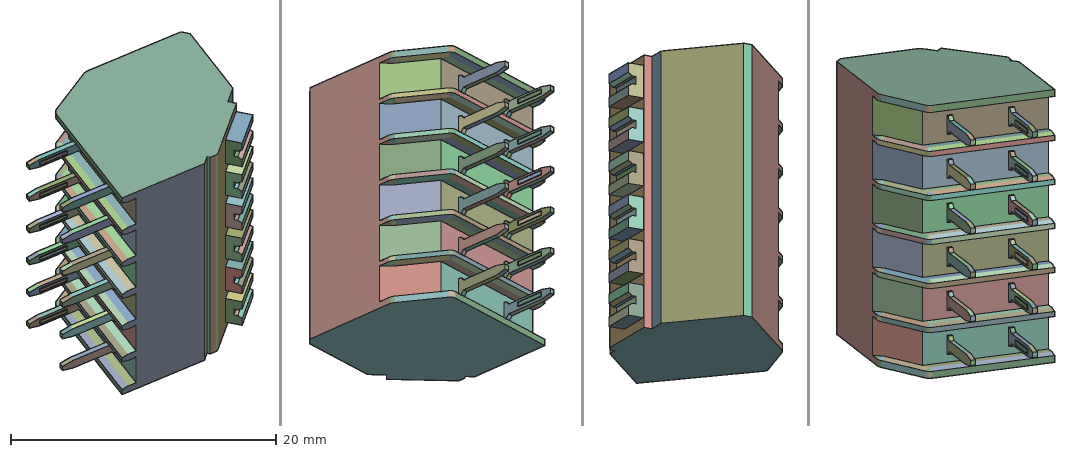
import cadquery as cq
import math


length = 21.7
pole_count = 6
wall_thickness = 0.7
pole_pitch = (length - wall_thickness) / pole_count

width = 12.7
height = 12.9
top_corner_chamfer = 0.52
slant_height = 4.05
slant_width = 2.43
slant_upper_radius = 1.0
slant_lower_radius = 0.55

wire_face_level = 20.83
notch_floor_level = 19.88
ledge_level = 19.85
notch_side = 3.86
lip_side_x = 12.35
lip_round = 0.37
lip_side_bottom = 7.85
lip_return = 0.17

recess_depth = 1.22
wall_chamfer_side = 0.14
wall_chamfer_depth = 0.52

button_offset = 0.1
button_length = 3.04
button_rise = 1.3
button_width = 2.6
button_embed = 0.22
slot_width = 0.6
slot_depth = 0.65
slot_chamfer_width = 0.24
slot_chamfer_depth = 0.35

pin_thickness = 0.4
pin_left_x = 4.4
pin_right_x = 9.45
pin_width = 0.85
pin_head_width = 1.48
pin_head_bottom = 1.0
pin_neck_bottom = 0.72
pin_taper_start = -2.65
pin_tip = -3.54
pin_tip_width = 0.43
pin_embed = 0.22
nub_width = 0.37
nub_rise = 0.09
nub_top = -0.28


def wire_face_outline():
    """Points of the notched 45 degree corner, from the top face down to the right side."""
    lip_return_x = lip_side_x - lip_return
    return [
        (notch_floor_level - height, height),
        ((notch_floor_level - notch_side) / 2, (notch_floor_level + notch_side) / 2),
        ((wire_face_level - notch_side) / 2, (wire_face_level + notch_side) / 2),
        (lip_side_x, wire_face_level - lip_side_x),
        (lip_side_x, lip_side_bottom),
        (lip_return_x, ledge_level - lip_return_x),
        (width, ledge_level - width),
    ]


def make_core():
    """Housing between the walls, standing back from the solder side by the recess depth."""
    outline = [
        (0, slant_height + recess_depth),
        (0, height - top_corner_chamfer),
        (top_corner_chamfer, height),
        *wire_face_outline(),
        (width, recess_depth),
        (slant_width, recess_depth),
    ]
    core = cq.Workplane("XY").polyline(outline).close().extrude(length)
    lip_corner = (lip_side_x, wire_face_level - lip_side_x, length / 2)
    return core.edges(cq.selectors.NearestToPointSelector(lip_corner)).fillet(lip_round)


def wall_layer(thickness, taper=0):
    """Layer of a wall on the XY plane whose rounded outline shrinks upward by the taper angle."""
    right = width + 2 * wall_chamfer_depth
    top = slant_height + recess_depth + 2 * wall_chamfer_depth
    outline = [(0, slant_height), (0, top), (right, top), (right, 0), (slant_width, 0)]
    blank = cq.Workplane("XY").polyline(outline).close().extrude(thickness)
    for corner, radius in (
        ((0, slant_height, thickness / 2), slant_upper_radius),
        ((slant_width, 0, thickness / 2), slant_lower_radius),
    ):
        blank = blank.edges(cq.selectors.NearestToPointSelector(corner)).fillet(radius)
    if taper:
        blank = blank.faces("<Z").wires().toPending().extrude(thickness, taper=taper, combine=False)
    keep = cq.Workplane("XY").box(width, top, thickness, centered=False)
    return blank.intersect(keep)


def make_half_wall(chamfered):
    """Half of a wall, from its middle plane Z = 0 up to its face."""
    if not chamfered:
        return wall_layer(wall_thickness / 2)
    rim_thickness = wall_thickness / 2 - wall_chamfer_side
    taper = math.degrees(math.atan2(wall_chamfer_depth, wall_chamfer_side))
    flank = wall_layer(wall_chamfer_side, taper).translate((0, 0, rim_thickness))
    return wall_layer(rim_thickness).union(flank)


def make_button():
    """Push button centred on Z = 0, with a chamfered screwdriver slot along its length."""
    top = button_rise
    floor = button_rise - slot_depth
    half_section = [
        (button_width / 2, -button_embed),
        (button_width / 2, top),
        (slot_width / 2 + slot_chamfer_width, top),
        (slot_width / 2, top - slot_chamfer_depth),
        (slot_width / 2, floor),
    ]
    section = half_section + [(-z, rise) for z, rise in reversed(half_section)]
    notch_corner = ((wire_face_level - notch_side) / 2, (wire_face_level + notch_side) / 2, 0)
    across_button = cq.Plane(origin=notch_corner, xDir=(0, 0, -1), normal=(1, -1, 0))
    return (
        cq.Workplane(across_button)
        .workplane(offset=button_offset)
        .polyline(section)
        .close()
        .extrude(button_length)
    )


def make_pin(x, nub_side):
    """Flat solder pin centred on Z = 0 with a stiffening nub on its left (-1) or right (+1) face."""
    half_outline = [
        (recess_depth + pin_embed, pin_head_width / 2),
        (pin_head_bottom, pin_head_width / 2),
        (pin_neck_bottom, pin_width / 2),
        (pin_taper_start, pin_width / 2),
        (pin_tip, pin_tip_width / 2),
    ]
    outline = half_outline + [(y, -z) for y, z in reversed(half_outline)]
    blade = cq.Workplane("YZ", origin=(x, 0, 0)).polyline(outline).close().extrude(pin_thickness)
    nub = cq.Workplane("XY").box(
        pin_thickness, nub_top - pin_taper_start, nub_width, centered=(False, False, True)
    ).translate((x + nub_side * nub_rise, pin_taper_start, 0))
    return blade.union(nub)


housing = make_core()

plain_half = make_half_wall(chamfered=False)
chamfered_half = make_half_wall(chamfered=True)
for index in range(pole_count + 1):
    lower_half = plain_half if index == 0 else chamfered_half
    upper_half = plain_half if index == pole_count else chamfered_half
    wall = upper_half.union(lower_half.mirror("XY"))
    housing = housing.union(wall.translate((0, 0, wall_thickness / 2 + index * pole_pitch)))

pole_parts = [make_button(), make_pin(pin_left_x, 1), make_pin(pin_right_x, -1)]
for index in range(pole_count):
    pole_z = wall_thickness / 2 + (index + 0.5) * pole_pitch
    for pole_part in pole_parts:
        housing = housing.union(pole_part.translate((0, 0, pole_z)))

result = housing